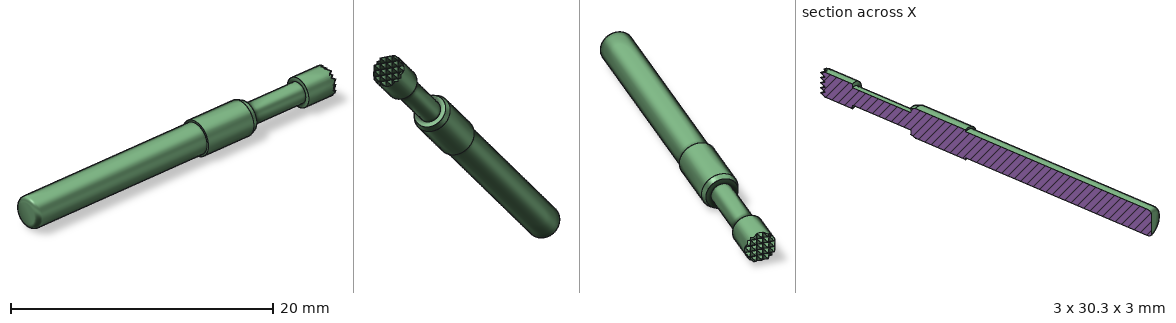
import cadquery as cq
import math

length = 30.3

barrel_dia = 2.67
collar_dia = 3.0
collar_lip_dia = 2.65
plunger_dia = 1.8
head_dia = 2.5

collar_rear = 17.03
collar_front = 22.05
collar_taper_length = 0.45
head_rear = 27.35

rear_fillet = 0.42

teeth_across = 5
tooth_pitch = head_dia / teeth_across
groove_angle = 60.0
groove_half_width = tooth_pitch / 2
groove_depth = groove_half_width / math.tan(math.radians(groove_angle / 2))


def rod(diameter, start, end):
    """Cylinder on the Y axis between two stations."""
    plane = cq.Plane(origin=(0, start, 0), xDir=(1, 0, 0), normal=(0, 1, 0))
    return cq.Workplane(plane).circle(diameter / 2).extrude(end - start)


def make_barrel():
    return rod(barrel_dia, 0, collar_rear).faces("<Y").edges().fillet(rear_fillet)


def make_collar():
    """Collar with a tapered front shoulder."""
    taper_depth = (collar_dia - collar_lip_dia) / 2
    collar = rod(collar_dia, collar_rear, collar_front)
    return collar.faces(">Y").edges().chamfer(collar_taper_length, taper_depth)


def make_groove_set():
    """Parallel V-grooves running along Z across the head face."""
    floor = length - groove_depth
    grooves = cq.Workplane("XY")
    for index in range(teeth_across + 1):
        center = index * tooth_pitch - head_dia / 2
        groove = (
            cq.Workplane("XY")
            .moveTo(center, floor)
            .lineTo(center + groove_half_width, length)
            .lineTo(center - groove_half_width, length)
            .close()
            .extrude(head_dia, both=True)
        )
        grooves = grooves.add(groove)
    return grooves


def make_head():
    head = rod(head_dia, head_rear, length)
    for turn in (0, 90):
        for groove in make_groove_set().vals():
            head = head.cut(cq.Workplane(groove.rotate((0, 0, 0), (0, 1, 0), turn)))
    return head


plunger = rod(plunger_dia, collar_front, head_rear)
result = make_barrel().union(make_collar()).union(plunger).union(make_head())